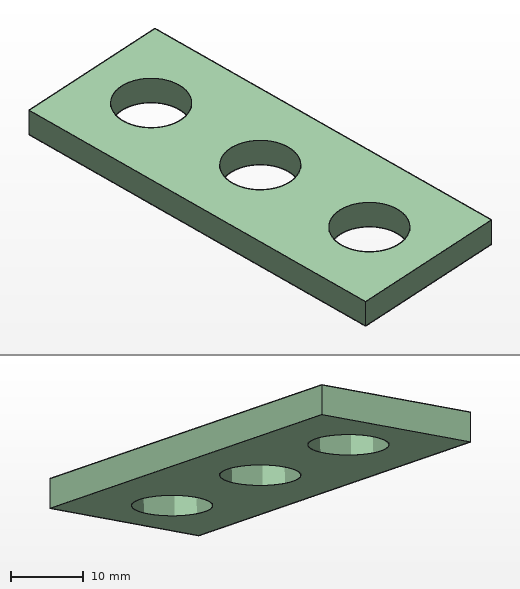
import cadquery as cq

length = 63.5
width = 25.4
thickness = 4.25

hole_count = 3
hole_diameter = 11.2
hole_pitch = 20.6

plate = cq.Workplane("XY").box(length, width, thickness)

result = (
    plate.faces(">Z")
    .workplane()
    .rarray(hole_pitch, 0.65, hole_count, 1)
    .hole(hole_diameter)
)